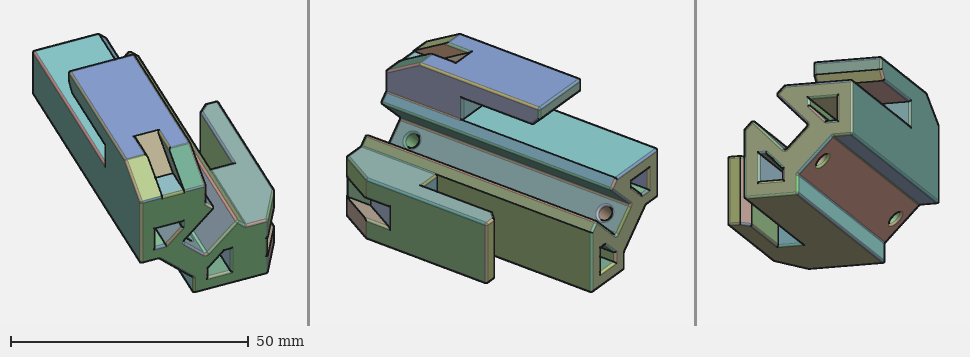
import cadquery as cq
import math

length = 60.0
reach = 34.0
arm_width = 15.0
foot_offset = 12.0
shelf_height = 24.0
edge_radius = 0.5

web_inner = 17.5
web_outer = 11.5
channel_width = 7.2

hook_start = 20.0
hook_thickness = 4.8
tip_chamfer = 2.0
gap_end = 40.0
nose_height = 29.0
nose_angle = 30.0

notch_width = 5.0
notch_start = 45.0

window_wall = 3.5
window_width = 6.0
window_bottom = 15.5
window_height = 5.05
window_web = 3.25

hole_diameter = 3.2
hole_inset = 5.0

floor_sum = web_inner * math.sqrt(2)
back_sum = web_outer * math.sqrt(2)
horn_sum = arm_width + shelf_height
channel_shift = channel_width / math.sqrt(2)
window_shift = channel_shift + window_web * math.sqrt(2)
hook_underside = reach - hook_thickness
notch_near = (arm_width - notch_width) / 2
notch_far = (arm_width + notch_width) / 2
nose_run = (reach - nose_height) / math.tan(math.radians(nose_angle))


def meeting(total, difference):
    """Point (y, z) where y + z = total and z - y = difference."""
    return ((total - difference) / 2, (total + difference) / 2)


def mirrored(shape):
    """Copy of a shape reflected in the diagonal plane y = z."""
    return shape.mirror(cq.Vector(0, -1, 1))


def along_length(points):
    """Extrude a (y, z) outline along the full length."""
    return cq.Workplane("YZ").polyline(points).close().extrude(length)


def across_arm(points, start, width):
    """Extrude an (x, z) outline in +Y from the given start."""
    return cq.Workplane("XZ", origin=(0, start, 0)).polyline(points).close().extrude(-width)


def spine():
    """Full-length body: both arm roots, the web and the channel between them."""
    upper = [
        (back_sum - foot_offset, foot_offset),
        (0, foot_offset),
        (0, shelf_height),
        (arm_width, shelf_height),
        meeting(horn_sum, channel_shift),
        meeting(floor_sum, channel_shift),
    ]
    lower = [(z, y) for y, z in reversed(upper)]
    return along_length(upper + lower)


def hook():
    """Hook standing on the upper arm, reaching over the shelf."""
    return across_arm([
        (gap_end, shelf_height),
        (gap_end, hook_underside),
        (hook_start + tip_chamfer, hook_underside),
        (hook_start, hook_underside + tip_chamfer),
        (hook_start, reach),
        (length - nose_run, reach),
        (length, nose_height),
        (length, shelf_height),
    ], 0, arm_width)


def notch():
    """Groove through the nose with a sloped entry and a level floor."""
    return across_arm([
        (notch_start, reach),
        (notch_start + nose_run, nose_height),
        (length, nose_height),
        (length, reach),
    ], notch_near, notch_width)


def window():
    """Lengthwise opening in the upper arm with one corner cut parallel to the channel."""
    inner_side = window_wall + window_width
    window_top = window_bottom + window_height
    return along_length([
        (window_wall, window_bottom),
        (window_wall, window_top),
        (inner_side, window_top),
        (inner_side, inner_side + window_shift),
        (window_bottom - window_shift, window_bottom),
    ])


def hole(x):
    """Round hole square to the web."""
    cylinder = cq.Solid.makeCylinder(
        hole_diameter / 2, reach, cq.Vector(x, 0, 0), cq.Vector(0, 1, 1))
    return cq.Workplane(cylinder)


def edges_on_arms(solid, direction, x_span, y_span, z_span):
    """Edges centred in a box on the upper arm, and their twins on the lower arm.

    The direction is the axis the edges run along on the upper arm, or None for any edge.
    """
    upper = list(zip(x_span, y_span, z_span))
    lower = [(x, z, y) for x, y, z in upper]
    lower_direction = {"Y": "Z"}.get(direction, direction)
    found = []
    for arm_direction, box in ((direction, upper), (lower_direction, lower)):
        edges = solid.edges(f"|{arm_direction}") if arm_direction else solid.edges()
        found += edges.edges(cq.selectors.BoxSelector(*box)).vals()
    return found


def around(value):
    """Narrow span centred on a value."""
    margin = edge_radius / 2
    return (value - margin, value + margin)


def gap_and_tip_edges(solid):
    """Cross edges in the gap's inner corners and under the hook tip."""
    x_span = (hook_start, around(gap_end)[1])
    z_span = (around(shelf_height)[0], around(reach)[0])
    return edges_on_arms(solid, "Y", x_span, (0, arm_width), z_span)


def shelf_line_edges(solid, x_start=0):
    """Lengthwise edges where the arm meets the slope above the channel."""
    return edges_on_arms(solid, "X", (x_start, length), around(arm_width), around(shelf_height))


def notch_inner_edges(solid):
    """Notch edges below the arm's top, and the line where the notch starts."""
    x_span = (notch_start, around(length)[0])
    y_span = (around(notch_near)[0], around(notch_far)[1])
    inner = edges_on_arms(solid, None, x_span, y_span, (around(nose_height)[0], around(reach)[0]))
    start = edges_on_arms(solid, "Y", around(notch_start), y_span, around(reach))
    return inner + start


def nose_end_edges(solid):
    """Edges between the nose slope and the end face, on both sides of the notch."""
    found = []
    for y_span in ((0, notch_near), (notch_far, arm_width)):
        found += edges_on_arms(solid, "Y", around(length), y_span, around(nose_height))
    return found


def round_edges(solid, edges):
    """Round the given edges of a solid."""
    return solid.newObject(edges).fillet(edge_radius)


def round_outside(solid):
    """Round the outer edges in two passes, leaving the chosen edges sharp."""
    sharp = gap_and_tip_edges(solid) + notch_inner_edges(solid)
    second_pass = shelf_line_edges(solid) + nose_end_edges(solid)
    first_pass = [edge for edge in solid.edges().vals() if edge not in sharp + second_pass]
    solid = round_edges(solid, first_pass)
    return round_edges(solid, shelf_line_edges(solid, gap_end) + nose_end_edges(solid))


def round_mouths(solid):
    """Round the rims of the openings in all faces."""
    rims = []
    for face in solid.faces().vals():
        for wire in face.innerWires():
            rims += wire.Edges()
    return round_edges(solid, rims)


body = spine().union(hook()).union(mirrored(hook())).clean()
body = body.cut(notch()).cut(mirrored(notch()))
body = round_outside(body)

body = body.cut(window()).cut(mirrored(window()))
for x in (hole_inset, length - hole_inset):
    body = body.cut(hole(x))
result = round_mouths(body)